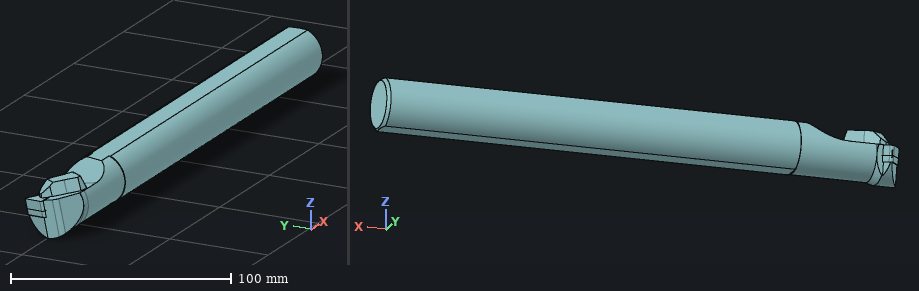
import cadquery as cq
import math


LENGTH = 250.0
SHANK_RADIUS = 12.5
FLAT_HEIGHT = 11.5
END_CHAMFER = 1.5

NECK_RADIUS = 12.2
NECK_START = 13.2
NECK_END = 50.0

HEAD_RADIUS = 14.0
HEAD_OFFSET_Y = 2.5
HEAD_END = 10.2
FRONT_FACE_X = 0.5
BEVEL_START_V = -3.0
BEVEL_END_X = 17.5
BEVEL_END_V = -18.0
NOSE_RADIUS = 3.8

TILT = 12.0
FLOOR_HEIGHT = 4.8
RUNOUT_START = 25.8
RUNOUT_RADIUS = 27.5
REACH = 50.0

INSERT_SIDE = 16.5
INSERT_CORNER_RADIUS = 1.2
INSERT_THICKNESS = 4.8
INSERT_TOP = 4.5
INSERT_BASE_V = 3.2
SHIM_THICKNESS = 3.0
FACE_SETBACK = 0.5

CLAMP_ANGLE = -45.0
CLAMP_TOP = 11.0
CLAMP_HEEL = 17.8
CLAMP_TIP = -0.8
CLAMP_NOSE_HEIGHT = 6.2
CLAMP_NOSE_END = 5.0
CLAMP_SIDE_INSET = 1.0
CLAMP_HEEL_LEAN = 2.0

corner_angle = math.radians(60)
insert_height = INSERT_SIDE * math.sin(corner_angle)
insert_corner_x = -INSERT_CORNER_RADIUS * (2 * math.cos(corner_angle / 2) - 1)
insert_apex_x = insert_corner_x + INSERT_SIDE / 2
insert_apex_v = INSERT_BASE_V + insert_height
insert_bottom = INSERT_TOP - INSERT_THICKNESS
shim_bottom = insert_bottom - SHIM_THICKNESS


def tilted(body):
    """Turn a body from the cutting frame (X, sideways V, height) into place."""
    return body.rotate((0, 0, 0), (1, 0, 0), -TILT)


def cylinder_x(radius, start, end):
    return cq.Workplane("YZ", origin=(start, 0, 0)).circle(radius).extrude(end - start)


def insert_prism(bottom, top):
    """Rounded triangle of the insert between two tilted heights."""
    corners = [
        (insert_corner_x, INSERT_BASE_V),
        (insert_corner_x + INSERT_SIDE, INSERT_BASE_V),
        (insert_apex_x, insert_apex_v),
    ]
    prism = cq.Workplane("XY", origin=(0, 0, bottom)).polyline(corners).close().extrude(top - bottom)
    return tilted(prism.edges("|Z").fillet(INSERT_CORNER_RADIUS))


def make_shank():
    shank = cylinder_x(SHANK_RADIUS, NECK_END, LENGTH).faces(">X").chamfer(END_CHAMFER)
    flats = cq.Workplane("XY").box(2 * LENGTH, REACH, 2 * FLAT_HEIGHT)
    return shank.intersect(flats)


def make_neck():
    """Round neck with the upper shank flat running on along it."""
    above_flat = cq.Workplane("XY", origin=(0, 0, FLAT_HEIGHT)).box(
        2 * LENGTH, REACH, REACH, centered=(True, True, False)
    )
    return cylinder_x(NECK_RADIUS, NECK_START, NECK_END).cut(above_flat)


def make_head():
    """Eccentric head tapering to the neck, trimmed along the insert and on the far corner."""
    block = cq.Workplane("YZ").center(HEAD_OFFSET_Y, 0).circle(HEAD_RADIUS).extrude(HEAD_END)
    taper = (
        cq.Workplane("YZ", origin=(HEAD_END, 0, 0))
        .center(HEAD_OFFSET_Y, 0)
        .circle(HEAD_RADIUS)
        .workplane(offset=NECK_START - HEAD_END)
        .center(-HEAD_OFFSET_Y, 0)
        .circle(NECK_RADIUS)
        .loft(ruled=True)
    )
    edge_slope = math.tan(corner_angle)
    setback_x = FACE_SETBACK / math.sin(corner_angle)
    front_corner_v = INSERT_BASE_V + (FRONT_FACE_X - insert_corner_x - setback_x) * edge_slope
    apex_v = insert_apex_v - FACE_SETBACK / math.cos(corner_angle)
    side_end_x = insert_apex_x + (apex_v - NECK_RADIUS) / edge_slope
    outline = [
        (FRONT_FACE_X, front_corner_v),
        (insert_apex_x, apex_v),
        (side_end_x, NECK_RADIUS),
        (BEVEL_END_X, NECK_RADIUS),
        (BEVEL_END_X, BEVEL_END_V),
        (FRONT_FACE_X, BEVEL_START_V),
    ]
    trim = cq.Workplane("XY", origin=(0, 0, -REACH / 2)).polyline(outline).close().extrude(REACH)
    trim = trim.edges("|Z and <X").edges("<Y").fillet(NOSE_RADIUS)
    return block.union(taper).intersect(tilted(trim))


def make_chip_space():
    """Tool that clears the space above the chip floor and its curved runout."""
    profile = (
        cq.Workplane("XZ", origin=(0, REACH, 0))
        .moveTo(-REACH, FLOOR_HEIGHT)
        .lineTo(RUNOUT_START, FLOOR_HEIGHT)
        .radiusArc((RUNOUT_START + RUNOUT_RADIUS, FLOOR_HEIGHT + RUNOUT_RADIUS), -RUNOUT_RADIUS)
        .lineTo(-REACH, FLOOR_HEIGHT + RUNOUT_RADIUS)
        .close()
    )
    return tilted(profile.extrude(2 * REACH))


def make_clamp():
    """Clamp with a leaning side and heel, and a nose sloping down onto the insert."""
    straight_side = [(CLAMP_TIP, 12.5), (1.2, 14.5), (8.8, 16.0)]
    heel = [(CLAMP_HEEL, 15.8), (CLAMP_HEEL, 4.2)]
    lower_heel = [(along + CLAMP_HEEL_LEAN, across) for along, across in heel]
    leaning_side = [(16.2, 2.5), (10.0, 4.0), (3.2, 5.5), (CLAMP_TIP, 9.0)]
    upper_side = [(along, across + CLAMP_SIDE_INSET) for along, across in leaning_side]
    body = (
        cq.Workplane("XY", origin=(0, 0, INSERT_TOP))
        .polyline(straight_side + lower_heel + leaning_side)
        .close()
        .workplane(offset=CLAMP_TOP - INSERT_TOP)
        .polyline(straight_side + heel + upper_side)
        .close()
        .loft(ruled=True)
    )
    above_nose = (
        cq.Workplane("XZ", origin=(0, REACH, 0))
        .polyline([(CLAMP_TIP, CLAMP_NOSE_HEIGHT), (CLAMP_NOSE_END, CLAMP_TOP), (CLAMP_TIP, CLAMP_TOP)])
        .close()
        .extrude(2 * REACH)
    )
    clamp = body.cut(above_nose)
    return tilted(clamp.rotate((0, 0, 0), (0, 0, 1), CLAMP_ANGLE))


def make_holder():
    bar = make_shank().union(make_neck()).union(make_head()).cut(make_chip_space())
    pocket = insert_prism(shim_bottom, FLOOR_HEIGHT)
    shim = insert_prism(shim_bottom, insert_bottom)
    return bar.cut(pocket).union(shim).union(make_clamp())


insert = insert_prism(insert_bottom, INSERT_TOP)
holder = make_holder()

result = cq.Compound.makeCompound([holder.val(), insert.val()])